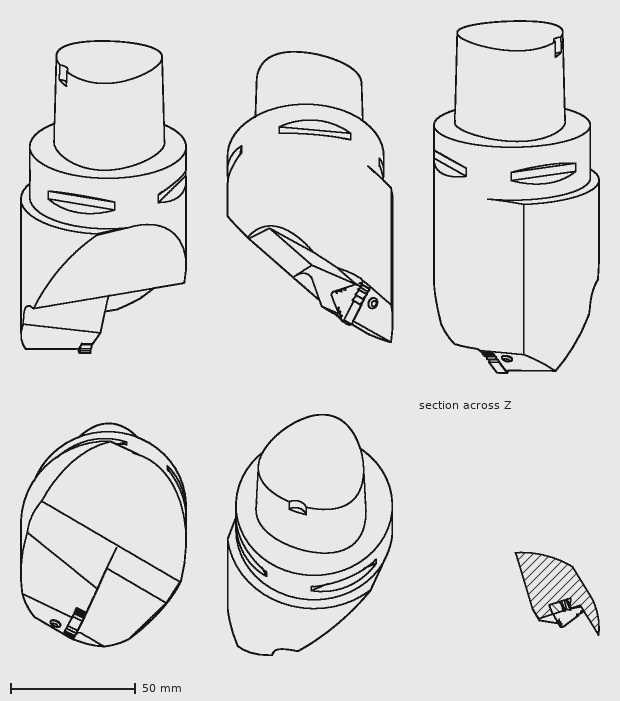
import cadquery as cq
import math


SHANK_LENGTH = 37.8
SHANK_RADIUS = 22.1
SHANK_TAPER = 1 / 20
SHANK_TOP_RADIUS = SHANK_RADIUS - SHANK_TAPER * SHANK_LENGTH / 2
LOBE_OFFSET = 1.5
SHANK_FACES = 6
POINTS_PER_FACE = 9

KEYWAY_RADIUS = 4.8
KEYWAY_DEPTH = 6.4
KEYWAY_INNER = 17.9

FLANGE_RADIUS = 31.5
FLANGE_HEIGHT = 22.2
SLOT_COUNT = 4
SLOT_Z = -12.3
SLOT_FLOOR = 28.0
SLOT_FLOOR_HEIGHT = 3.4
SLOT_MOUTH_HEIGHT = 7.8

SHAFT_RADIUS = 35.0
SHAFT_FLAT_ANGLE = 4.0
SHOULDER_DROP = 0.8

RELIEF_TOP_X = 5.5
RELIEF_TOP_Z = -63.1
RELIEF_SLANT = 32.2
RELIEF_ARC_RADIUS = 9.3
RELIEF_ARC_X = 4.4
NECK_ANGLE = 13.4

TOTAL_LENGTH = 136.4
TIP_X = -19.4
TIP_Z = SHANK_LENGTH - TOTAL_LENGTH
RAKE_TILT = 9.5
LEFT_SETBACK = 0.3
RIGHT_SETBACK = 1.5

POCKET_CEILING_Z = -85.7
POCKET_RAMP_X = -27.5
POCKET_CORNER_RADIUS = 2.0
FLANK_TOP_Z = -61.4
FLANK_ANGLE = 65.0

INSERT_EDGE = 16.0
INSERT_NOSE = 1.4
INSERT_SIDES = 3
INSERT_THICKNESS = 4.5
TOOTH_WALLS = [8.7, 11.2, 13.6]
TOOTH_RAMP_END = 14.7
TOOTH_DEPTH = 1.1

STUD_DIAMETER = 4.4
STUD_TOP_DIAMETER = 2.3
STUD_RIM_HEIGHT = 0.3
STUD_CONE_HEIGHT = 0.7
STUD_Y = -7.2
STUD_Z = -89.2

REACH = 109.1


def nose_plane():
    """Plane of the rake face: x along the cutting edge, y into the holder, z out of the rake."""
    tilt = math.radians(RAKE_TILT)
    along = math.cos(tilt) / math.sqrt(2)
    lean = math.sin(tilt) / math.sqrt(2)
    return cq.Plane(
        origin=(TIP_X, 0, TIP_Z),
        xDir=(-along, math.sin(tilt), along),
        normal=(lean, math.cos(tilt), -lean),
    )


NOSE = nose_plane()


def polygon_point(radius, angle, z):
    """Point of the three-lobe curve, with a side facing -Y and a lobe facing +Y."""
    x = radius * math.sin(angle) + LOBE_OFFSET * math.sin(2 * angle)
    y = -radius * math.cos(angle) + LOBE_OFFSET * math.cos(2 * angle)
    return cq.Vector(x, y, z)


def polygon_tangent(radius, angle):
    x = radius * math.cos(angle) + 2 * LOBE_OFFSET * math.cos(2 * angle)
    y = radius * math.sin(angle) - 2 * LOBE_OFFSET * math.sin(2 * angle)
    return cq.Vector(x, y, 0)


def polygon_wire(radius, z):
    sweep = 2 * math.pi / SHANK_FACES
    edges = []
    for face in range(SHANK_FACES):
        angles = [sweep * (face - 0.5 + i / (POINTS_PER_FACE - 1)) for i in range(POINTS_PER_FACE)]
        points = [polygon_point(radius, angle, z) for angle in angles]
        tangents = [polygon_tangent(radius, angles[0]), polygon_tangent(radius, angles[-1])]
        edges.append(cq.Edge.makeSpline(points, tangents=tangents))
    return cq.Wire.assembleEdges(edges)


def make_shank():
    wires = [polygon_wire(SHANK_RADIUS, 0), polygon_wire(SHANK_TOP_RADIUS, SHANK_LENGTH)]
    shank = cq.Workplane(cq.Solid.makeLoft(wires, True))
    keyway = (
        cq.Workplane("XY", origin=(0, -KEYWAY_INNER - KEYWAY_RADIUS, SHANK_LENGTH))
        .circle(KEYWAY_RADIUS)
        .extrude(-KEYWAY_DEPTH)
    )
    return shank.cut(keyway)


def make_flange():
    flange = cq.Workplane("XY").circle(FLANGE_RADIUS).extrude(-FLANGE_HEIGHT)
    flare = (SLOT_MOUTH_HEIGHT - SLOT_FLOOR_HEIGHT) / 2 / (FLANGE_RADIUS - SLOT_FLOOR)
    outside = 2 * FLANGE_RADIUS - SLOT_FLOOR
    floor_half = SLOT_FLOOR_HEIGHT / 2
    outside_half = floor_half + flare * (outside - SLOT_FLOOR)
    slot = (
        cq.Workplane("XZ", origin=(0, 0, SLOT_Z))
        .moveTo(SLOT_FLOOR, -floor_half)
        .lineTo(outside, -outside_half)
        .lineTo(outside, outside_half)
        .lineTo(SLOT_FLOOR, floor_half)
        .close()
        .extrude(FLANGE_RADIUS, both=True)
    )
    for i in range(SLOT_COUNT):
        flange = flange.cut(slot.rotate((0, 0, 0), (0, 0, 1), (i + 0.5) * 360 / SLOT_COUNT))
    return flange


def make_shaft():
    """Round +Y side, flat -X side, leaning +X side and a larger round -Y side."""
    lean = math.radians(SHAFT_FLAT_ANGLE)
    left_y = -math.sqrt(SHAFT_RADIUS**2 - FLANGE_RADIUS**2)
    flat_length = -left_y
    right_start = (FLANGE_RADIUS * math.cos(lean), -FLANGE_RADIUS * math.sin(lean))
    right_end = (
        right_start[0] - flat_length * math.sin(lean),
        right_start[1] - flat_length * math.cos(lean),
    )
    shaft = (
        cq.Workplane("XY", origin=(0, 0, -FLANGE_HEIGHT))
        .moveTo(-FLANGE_RADIUS, 0)
        .threePointArc((0, FLANGE_RADIUS), right_start)
        .lineTo(*right_end)
        .threePointArc((0, -SHAFT_RADIUS), (-FLANGE_RADIUS, left_y))
        .close()
        .extrude(TIP_Z + FLANGE_HEIGHT)
    )
    shoulder = (
        cq.Workplane("XZ")
        .moveTo(FLANGE_RADIUS, -FLANGE_HEIGHT)
        .lineTo(SHAFT_RADIUS, -FLANGE_HEIGHT - SHOULDER_DROP)
        .lineTo(SHAFT_RADIUS, -FLANGE_HEIGHT)
        .close()
        .revolve(360, (0, 0, 0), (0, 1, 0))
    )
    return shaft.cut(shoulder)


def side_relief():
    """Slanted face, concave arc and neck face that thin the +X side towards the tip."""
    slant_rise = SHAFT_RADIUS / math.tan(math.radians(RELIEF_SLANT))
    neck = math.radians(NECK_ANGLE)
    arc_z = RELIEF_TOP_Z - RELIEF_ARC_RADIUS
    arc_end = (
        RELIEF_ARC_X - RELIEF_ARC_RADIUS * math.cos(neck),
        arc_z + RELIEF_ARC_RADIUS * math.sin(neck),
    )
    arc_middle = (
        RELIEF_ARC_X - RELIEF_ARC_RADIUS * math.sin(math.pi / 4),
        arc_z + RELIEF_ARC_RADIUS * math.cos(math.pi / 4),
    )
    neck_bottom_x = arc_end[0] - (arc_end[1] - TIP_Z) * math.tan(neck)
    return (
        cq.Workplane("XZ")
        .moveTo(RELIEF_TOP_X + SHAFT_RADIUS, RELIEF_TOP_Z + slant_rise)
        .lineTo(RELIEF_TOP_X, RELIEF_TOP_Z)
        .lineTo(RELIEF_ARC_X, RELIEF_TOP_Z)
        .threePointArc(arc_middle, arc_end)
        .lineTo(neck_bottom_x, TIP_Z)
        .lineTo(RELIEF_TOP_X + SHAFT_RADIUS, TIP_Z)
        .close()
        .extrude(REACH, both=True)
    )


def nose_cuts():
    """The two half-spaces below the 45 degree nose faces, square to the rake face."""
    left = cq.Workplane(NOSE).center(0, LEFT_SETBACK - REACH / 2).rect(2 * REACH, REACH)
    right = cq.Workplane(NOSE).center(RIGHT_SETBACK - REACH / 2, 0).rect(REACH, 2 * REACH)
    return left.extrude(REACH, both=True).union(right.extrude(REACH, both=True))


def chip_pocket():
    """Space in front of the rake face, under a flat then rising ceiling."""
    ramp_end_x = POCKET_RAMP_X + RELIEF_TOP_Z - POCKET_CEILING_Z
    under_ceiling = (
        cq.Workplane("XZ")
        .moveTo(-REACH, -REACH)
        .lineTo(-REACH, POCKET_CEILING_Z)
        .lineTo(POCKET_RAMP_X, POCKET_CEILING_Z)
        .lineTo(ramp_end_x, RELIEF_TOP_Z)
        .lineTo(REACH, RELIEF_TOP_Z)
        .lineTo(REACH, -REACH)
        .close()
        .extrude(REACH, both=True)
    )
    before_rake = cq.Workplane(NOSE).rect(2 * REACH, 2 * REACH).extrude(REACH)
    return under_ceiling.intersect(before_rake)


def flank_cut():
    """Sloping flank that trims the back of the shaft above the chip pocket."""
    flank_width = (FLANK_TOP_Z - TIP_Z) / math.tan(math.radians(FLANK_ANGLE))
    return (
        cq.Workplane("YZ")
        .moveTo(FLANGE_RADIUS, FLANK_TOP_Z)
        .lineTo(FLANGE_RADIUS, TIP_Z)
        .lineTo(FLANGE_RADIUS - flank_width, TIP_Z)
        .close()
        .extrude(REACH, both=True)
    )


def round_pocket_corner(shaft):
    """Round the inner corner between the level part of the pocket ceiling and the rake face."""
    corner_x = (POCKET_RAMP_X - FLANGE_RADIUS) / 2
    rise = (POCKET_CEILING_Z - TIP_Z) - (corner_x - TIP_X)
    corner_y = rise * math.tan(math.radians(RAKE_TILT)) / math.sqrt(2)
    corner = (corner_x, corner_y, POCKET_CEILING_Z)
    return shaft.edges(cq.selectors.NearestToPointSelector(corner)).fillet(POCKET_CORNER_RADIUS)


def insert_plate(edge):
    """Three-cornered plate behind the rake face; each side repeats the same edge points."""
    centre_x = INSERT_EDGE / 2
    centre_y = (INSERT_EDGE + 2 * INSERT_NOSE) / 2 * math.tan(math.pi / 6)
    outline = []
    for side in range(INSERT_SIDES):
        turn = side * 2 * math.pi / INSERT_SIDES
        for x, y in edge:
            dx = x - centre_x
            dy = y - centre_y
            outline.append((
                centre_x + dx * math.cos(turn) - dy * math.sin(turn),
                centre_y + dx * math.sin(turn) + dy * math.cos(turn),
            ))
    return cq.Workplane(NOSE).polyline(outline).close().extrude(-INSERT_THICKNESS)


def nose_stud():
    stud_x = TIP_X + TIP_Z + LEFT_SETBACK * math.sqrt(2) - STUD_Z
    plane = cq.Plane(origin=(stud_x, STUD_Y, STUD_Z), xDir=(0, 1, 0), normal=(-1, 0, -1))
    return (
        cq.Workplane(plane)
        .circle(STUD_DIAMETER / 2)
        .extrude(STUD_RIM_HEIGHT)
        .faces(cq.selectors.DirectionMinMaxSelector(plane.zDir))
        .workplane()
        .circle(STUD_DIAMETER / 2)
        .workplane(offset=STUD_CONE_HEIGHT)
        .circle(STUD_TOP_DIAMETER / 2)
        .loft(ruled=True)
    )


def make_holder():
    shaft = make_shaft().cut(side_relief()).cut(nose_cuts())
    shaft = shaft.cut(chip_pocket()).cut(flank_cut())
    shaft = round_pocket_corner(shaft)
    shaft = shaft.cut(insert_plate([(0, 0), (INSERT_EDGE, 0)]))
    flange = make_flange().cut(side_relief())
    return make_shank().union(flange).union(shaft).union(nose_stud())


def make_insert():
    """Insert with saw teeth near the end of each edge."""
    edge = [(0, 0)]
    for wall in TOOTH_WALLS:
        edge += [(wall, 0), (wall, TOOTH_DEPTH)]
    edge += [(TOOTH_RAMP_END, 0), (INSERT_EDGE, 0)]
    return insert_plate(edge)


holder = make_holder()
insert = make_insert()

result = cq.Compound.makeCompound([*holder.vals(), *insert.vals()])